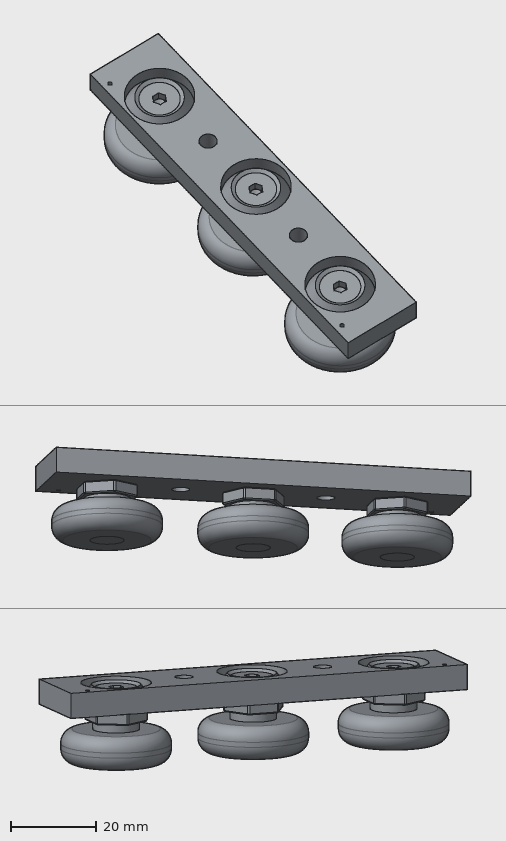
import cadquery as cq
import math

PLATE_LENGTH = 100.0
PLATE_WIDTH = 20.0
PLATE_THICKNESS = 6.0
MOUNT_HOLE_DIAMETER = 4.2
MARK_HOLE_DIAMETER = 1.0
MARK_EDGE_X = 5.0
MARK_EDGE_Y = 2.0

STATION_PITCH = 35.0
OUTER_Y = -1.0
MIDDLE_ROLLER_Y = 0.0
ECCENTRICITY = 0.8

HEAD_DIAMETER = 16.5
RIM_DIAMETER = 11.6
DISH_DIAMETER = 9.7
RIM_Z = -0.4
DISH_Z = -1.0
HEAD_SEAT_Z = -3.7
SHANK_DIAMETER = 5.0
SHANK_LENGTH = 12.0
SOCKET_FLATS = 3.0
SOCKET_DEPTH = 2.0
SOCKET_TIP_DEPTH = 0.8

HEX_FLATS = 13.0
HEX_CHAMFER = 0.3
HEX_HEIGHT = 3.0
NECK_DIAMETER = 11.0
NECK_HEIGHT = 2.0
JOURNAL_DIAMETER = 8.0

ROLLER_DIAMETER = 26.0
ROLLER_WIDTH = 8.0
BAND_WIDTH = 1.2
SHOULDER_RADIUS = 3.5

HEX_SIDES = 6
CORNERS_ALONG_X = 0
CORNERS_ALONG_Y = 180 / HEX_SIDES

PLATE_BOTTOM_Z = -PLATE_THICKNESS
HEX_BOTTOM_Z = PLATE_BOTTOM_Z - HEX_HEIGHT
ROLLER_TOP_Z = HEX_BOTTOM_Z - NECK_HEIGHT
ROLLER_BOTTOM_Z = ROLLER_TOP_Z - ROLLER_WIDTH

STATIONS = [
    (-STATION_PITCH, OUTER_Y, OUTER_Y, CORNERS_ALONG_Y),
    (0.0, MIDDLE_ROLLER_Y + ECCENTRICITY, MIDDLE_ROLLER_Y, CORNERS_ALONG_X),
    (STATION_PITCH, OUTER_Y, OUTER_Y, CORNERS_ALONG_Y),
]


def cylinder_down(diameter, top_z, height, x=0.0, y=0.0):
    """Cylinder that hangs down from top_z on a vertical axis through (x, y)."""
    return cq.Workplane("XY", origin=(x, y, top_z)).circle(diameter / 2).extrude(-height)


def hexagon_down(flats, top_z, height, turn):
    """Hexagonal prism that hangs down from top_z; turn is its angle about Z."""
    corner_diameter = flats / math.cos(math.pi / HEX_SIDES)
    prism = cq.Workplane("XY", origin=(0, 0, top_z)).polygon(HEX_SIDES, corner_diameter).extrude(-height)
    return prism.rotate((0, 0, 0), (0, 0, 1), turn)


def make_plate():
    """Carriage plate with its screw counterbores, mounting holes and small corner holes."""
    plate = cq.Workplane("XY").box(
        PLATE_LENGTH, PLATE_WIDTH, PLATE_THICKNESS, centered=(True, True, False)
    ).translate((0, 0, PLATE_BOTTOM_Z))

    for x, screw_y, _, _ in STATIONS:
        plate = plate.cut(cylinder_down(HEAD_DIAMETER, 0, -HEAD_SEAT_Z, x, screw_y))
        plate = plate.cut(cylinder_down(SHANK_DIAMETER, 0, PLATE_THICKNESS, x, screw_y))

    mark_y = -PLATE_WIDTH / 2 + MARK_EDGE_Y
    for side in (-1, 1):
        mount_x = side * STATION_PITCH / 2
        mark_x = side * (PLATE_LENGTH / 2 - MARK_EDGE_X)
        plate = plate.cut(cylinder_down(MOUNT_HOLE_DIAMETER, 0, PLATE_THICKNESS, mount_x))
        plate = plate.cut(cylinder_down(MARK_HOLE_DIAMETER, 0, PLATE_THICKNESS, mark_x, mark_y))
    return plate


def make_screw():
    """Clamping screw on the Z axis."""
    shank_end_z = HEAD_SEAT_Z - SHANK_LENGTH
    screw = (
        cq.Workplane("XZ")
        .moveTo(0, DISH_Z)
        .lineTo(DISH_DIAMETER / 2, DISH_Z)
        .lineTo(RIM_DIAMETER / 2, RIM_Z)
        .lineTo(HEAD_DIAMETER / 2, HEAD_SEAT_Z)
        .lineTo(SHANK_DIAMETER / 2, HEAD_SEAT_Z)
        .lineTo(SHANK_DIAMETER / 2, shank_end_z)
        .lineTo(0, shank_end_z)
        .close()
        .revolve(360, (0, 0, 0), (0, 1, 0))
    )

    socket_bottom_z = DISH_Z - SOCKET_DEPTH
    socket_tip = cq.Workplane(
        cq.Solid.makeCone(
            SOCKET_FLATS / 2, 0, SOCKET_TIP_DEPTH,
            cq.Vector(0, 0, socket_bottom_z), cq.Vector(0, 0, -1),
        )
    )
    return screw.cut(hexagon_down(SOCKET_FLATS, DISH_Z, SOCKET_DEPTH, CORNERS_ALONG_Y)).cut(socket_tip)


def make_spindle(turn, screw_offset):
    """Spindle on the Z axis, with its screw hole shifted along Y by screw_offset."""
    spindle = hexagon_down(HEX_FLATS, PLATE_BOTTOM_Z, HEX_HEIGHT, turn).edges().chamfer(HEX_CHAMFER)
    spindle = spindle.union(cylinder_down(NECK_DIAMETER, HEX_BOTTOM_Z, NECK_HEIGHT))
    spindle = spindle.union(cylinder_down(JOURNAL_DIAMETER, ROLLER_TOP_Z, ROLLER_WIDTH))
    return spindle.cut(cylinder_down(SHANK_DIAMETER, HEAD_SEAT_Z, SHANK_LENGTH, 0, screw_offset))


def make_roller():
    """Roller on the Z axis, bored to fit the spindle journal."""
    outer_radius = ROLLER_DIAMETER / 2
    bore_radius = JOURNAL_DIAMETER / 2
    shoulder_height = (ROLLER_WIDTH - BAND_WIDTH) / 2
    band_top_z = ROLLER_TOP_Z - shoulder_height
    band_bottom_z = ROLLER_BOTTOM_Z + shoulder_height

    shoulder_run = math.sqrt(SHOULDER_RADIUS**2 - shoulder_height**2)
    face_radius = outer_radius - SHOULDER_RADIUS + shoulder_run
    return (
        cq.Workplane("XZ")
        .moveTo(bore_radius, ROLLER_TOP_Z)
        .lineTo(face_radius, ROLLER_TOP_Z)
        .radiusArc((outer_radius, band_top_z), SHOULDER_RADIUS)
        .lineTo(outer_radius, band_bottom_z)
        .radiusArc((face_radius, ROLLER_BOTTOM_Z), SHOULDER_RADIUS)
        .lineTo(bore_radius, ROLLER_BOTTOM_Z)
        .close()
        .revolve(360, (0, 0, 0), (0, 1, 0))
    )


plate = make_plate()
screws = []
spindles = []
rollers = []
for x, screw_y, roller_y, turn in STATIONS:
    screws.append(make_screw().translate((x, screw_y, 0)).val())
    spindles.append(make_spindle(turn, screw_y - roller_y).translate((x, roller_y, 0)).val())
    rollers.append(make_roller().translate((x, roller_y, 0)).val())

result = cq.Compound.makeCompound([plate.val(), *screws, *spindles, *rollers])